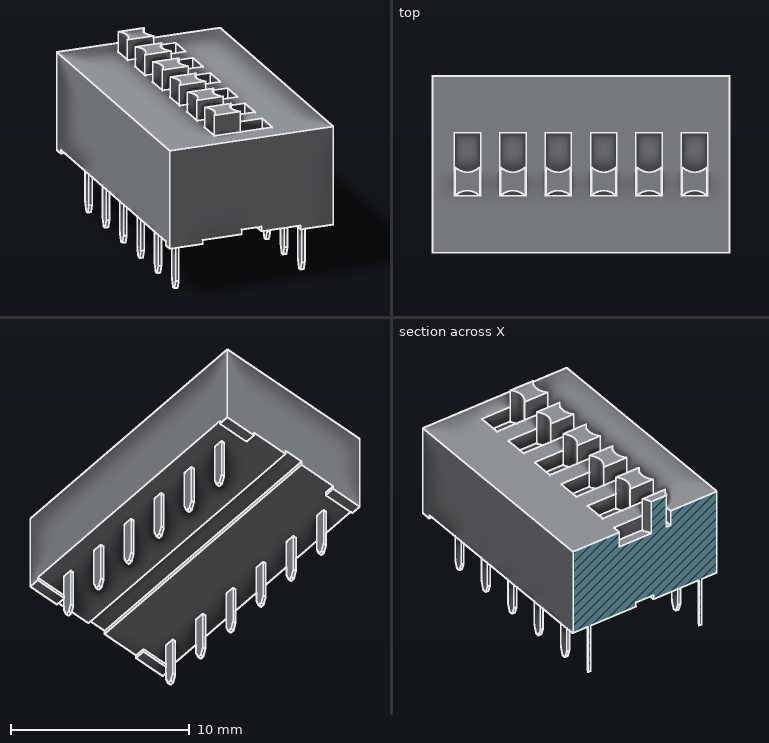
import cadquery as cq

body_length = 16.6
body_width = 9.9
body_height = 5.88

foot_length = 0.63
foot_width = 2.0
foot_height = 0.23
groove_width = 1.2
groove_depth = 0.28

switch_count = 6
switch_pitch = 2.54
first_switch_x = -switch_pitch * (switch_count - 1) / 2
switch_xs = [first_switch_x + i * switch_pitch for i in range(switch_count)]

slot_width = 1.48
slot_length = 3.5
slot_depth = 1.0

actuator_width = 1.36
actuator_length = 1.6
actuator_rise = 1.2
scoop_depth = 0.28

row_spacing = 7.62
pin_width = 0.58
pin_thickness = 0.2
pin_length = 3.17
tip_length = 0.5
tip_width = 0.23


def make_body():
    """Housing standing on four corner feet, its feet at Z = 0."""
    body = cq.Workplane("XY").box(body_length, body_width, body_height, centered=(True, True, False))
    lengthwise_recess = cq.Workplane("XY").box(
        body_length, body_width - 2 * foot_width, foot_height, centered=(True, True, False)
    )
    crosswise_recess = cq.Workplane("XY").box(
        body_length - 2 * foot_length, body_width, foot_height, centered=(True, True, False)
    )
    groove = cq.Workplane("XY").box(
        body_length, groove_width, foot_height + groove_depth, centered=(True, True, False)
    )
    return body.cut(lengthwise_recess).cut(crosswise_recess).cut(groove)


def make_slot(x):
    """Volume removed for one actuator slot."""
    floor_z = body_height - slot_depth
    return (
        cq.Workplane("XY", origin=(x, 0, floor_z))
        .rect(slot_width, slot_length)
        .extrude(slot_depth)
    )


def make_actuator(x):
    """Actuator block with a concave scoop in its front and back faces."""
    floor_z = body_height - slot_depth
    front_y = -slot_length / 2
    back_y = front_y + actuator_length
    half_width = actuator_width / 2
    return (
        cq.Workplane("XY", origin=(x, 0, floor_z))
        .moveTo(-half_width, front_y)
        .threePointArc((0, front_y + scoop_depth), (half_width, front_y))
        .lineTo(half_width, back_y)
        .threePointArc((0, back_y - scoop_depth), (-half_width, back_y))
        .close()
        .extrude(slot_depth + actuator_rise)
    )


def make_pin(x, y):
    """Flat pin with a tapered tip, reaching up to the recessed underside."""
    half_width = pin_width / 2
    half_tip = tip_width / 2
    shoulder_z = tip_length - pin_length
    return (
        cq.Workplane("XZ", origin=(x, y + pin_thickness / 2, 0))
        .moveTo(-half_width, foot_height)
        .lineTo(-half_width, shoulder_z)
        .lineTo(-half_tip, -pin_length)
        .lineTo(half_tip, -pin_length)
        .lineTo(half_width, shoulder_z)
        .lineTo(half_width, foot_height)
        .close()
        .extrude(pin_thickness)
    )


result = make_body()
for switch_x in switch_xs:
    result = result.cut(make_slot(switch_x)).union(make_actuator(switch_x))
    for row_y in (-row_spacing / 2, row_spacing / 2):
        result = result.union(make_pin(switch_x, row_y))